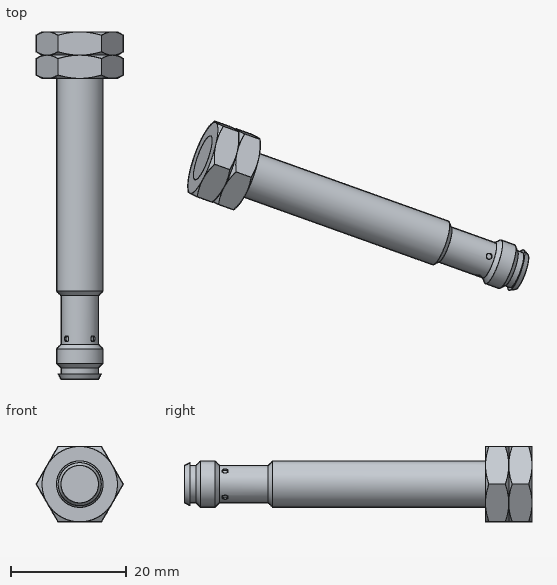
import cadquery as cq
import math

length = 60.0
front_y = -length / 2
back_y = length / 2

shaft_radius = 4.0
neck_radius = 3.25
shoulder_chamfer = shaft_radius - neck_radius
shoulder_y = front_y + 14.45

collar_front_y = front_y + 2.0
collar_back_y = front_y + 6.05
lip_radius = 3.7
lip_width = 0.95

hole_count = 4
hole_diameter = 1.0
hole_depth = 0.35
hole_y = front_y + 7.0
first_hole_angle = 45.0

nut_count = 2
across_flats = 13.0
across_corners = across_flats / math.cos(math.radians(30))
nut_thickness = 4.0
nut_chamfer_angle = 30.0
nut_chamfer_height = (across_corners - across_flats) / 2 * math.tan(math.radians(nut_chamfer_angle))


def make_shaft_blank():
    """Turned shaft: half-profile (radius, y) revolved about the Y axis."""
    lip_back_y = front_y + lip_width
    return (
        cq.Workplane("XY")
        .moveTo(0, front_y)
        .lineTo(neck_radius, front_y)
        .lineTo(lip_radius, lip_back_y)
        .lineTo(neck_radius, lip_back_y)
        .lineTo(neck_radius, collar_front_y)
        .lineTo(shaft_radius, collar_front_y + shoulder_chamfer)
        .lineTo(shaft_radius, collar_back_y - shoulder_chamfer)
        .lineTo(neck_radius, collar_back_y)
        .lineTo(neck_radius, shoulder_y)
        .lineTo(shaft_radius, shoulder_y + shoulder_chamfer)
        .lineTo(shaft_radius, back_y)
        .lineTo(0, back_y)
        .close()
        .revolve(360, (0, 0, 0), (0, 1, 0))
    )


def make_hole_cutter(angle):
    """Radial cylinder that drills a blind hole into the neck."""
    direction = cq.Vector(math.cos(math.radians(angle)), 0, math.sin(math.radians(angle)))
    bottom = direction * (neck_radius - hole_depth) + cq.Vector(0, hole_y, 0)
    return cq.Solid.makeCylinder(hole_diameter / 2, 2 * hole_depth, bottom, direction)


def make_shaft():
    shaft = make_shaft_blank()
    for i in range(hole_count):
        shaft = shaft.cut(cq.Workplane(make_hole_cutter(first_hole_angle + i * 360 / hole_count)))
    return shaft


def make_nut(nut_back_y):
    """Hexagon nut with both faces chamfered, bored to fit the shaft."""
    nut_front_y = nut_back_y - nut_thickness
    hexagon = (
        cq.Workplane("XZ", origin=(0, nut_back_y, 0))
        .polygon(6, across_corners)
        .extrude(nut_thickness)
    )
    chamfer_envelope = (
        cq.Workplane("XY")
        .moveTo(0, nut_front_y)
        .lineTo(across_flats / 2, nut_front_y)
        .lineTo(across_corners / 2, nut_front_y + nut_chamfer_height)
        .lineTo(across_corners / 2, nut_back_y - nut_chamfer_height)
        .lineTo(across_flats / 2, nut_back_y)
        .lineTo(0, nut_back_y)
        .close()
        .revolve(360, (0, 0, 0), (0, 1, 0))
    )
    bore = cq.Workplane("XZ", origin=(0, nut_back_y, 0)).circle(shaft_radius).extrude(nut_thickness)
    return hexagon.intersect(chamfer_envelope).cut(bore)


shaft = make_shaft()
nuts = [make_nut(back_y - i * nut_thickness) for i in range(nut_count)]

result = cq.Compound.makeCompound([shaft.val().Solids()[0], *[nut.val().Solids()[0] for nut in nuts]])